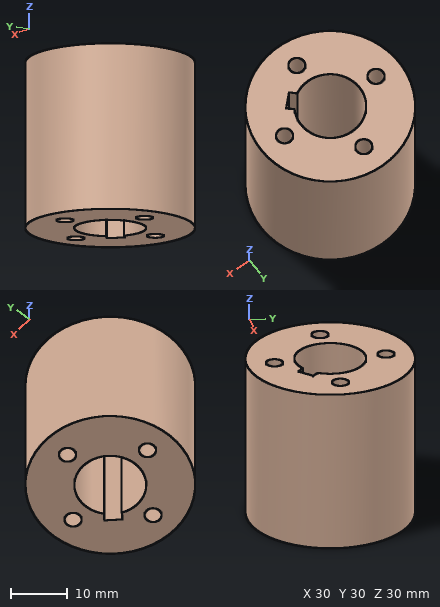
import cadquery as cq

hub_diameter = 30
hub_height = 30

bore_diameter = 12.7
keyway_width = 3.18
keyway_reach = 7.62
keyway_angle = -45

hole_diameter = 3
hole_count = 4
hole_circle_radius = hub_diameter / 3


def make_hub():
    return cq.Workplane("XY").circle(hub_diameter / 2).extrude(hub_height)


def make_bore():
    return cq.Workplane("XY").circle(bore_diameter / 2).extrude(hub_height)


def make_keyway():
    """Square-cornered slot running from the bore axis out to the keyway floor."""
    slot = cq.Workplane("XY").box(
        keyway_reach, keyway_width, hub_height, centered=(False, True, False)
    )
    return slot.rotate((0, 0, 0), (0, 0, 1), keyway_angle)


def make_holes():
    return (
        cq.Workplane("XY")
        .polarArray(hole_circle_radius, 0, 360, hole_count)
        .circle(hole_diameter / 2)
        .extrude(hub_height)
    )


result = make_hub().cut(make_bore()).cut(make_keyway()).cut(make_holes())